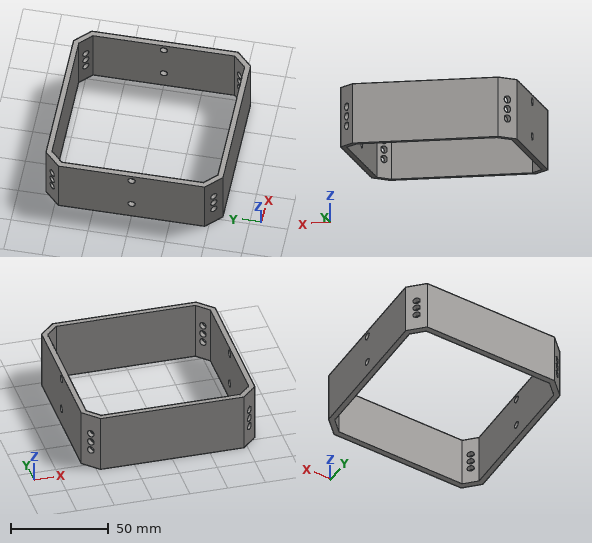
import cadquery as cq

side = 92.0
height = 31.0
wall = 2.9
corner_cut = 8.0
hole_diameter = 3.7
side_hole_heights = (9.4, 27.5)
corner_hole_middle_height = 15.0
corner_hole_spacing = 5.0
corner_angles = (45, 135)

inner_side = side - 2 * wall
inner_corner_cut = corner_cut - wall * (2 - 2**0.5)


def octagonal_prism(width, cut):
    """Square prism on the XY plane with its four upright edges cut at 45 degrees."""
    return cq.Workplane("XY").rect(width, width).extrude(height).edges("|Z").chamfer(cut)


def cross_drill(z, angle):
    """Horizontal cylinder through the ring's axis, turned by angle from the X axis."""
    length = 2 * side
    drill = cq.Workplane("YZ").circle(hole_diameter / 2).extrude(length / 2, both=True)
    return drill.rotate((0, 0, 0), (0, 0, 1), angle).translate((0, 0, z))


result = octagonal_prism(side, corner_cut).cut(octagonal_prism(inner_side, inner_corner_cut))

for hole_height in side_hole_heights:
    result = result.cut(cross_drill(hole_height, 0))

for step in (-1, 0, 1):
    hole_height = corner_hole_middle_height + step * corner_hole_spacing
    for corner_angle in corner_angles:
        result = result.cut(cross_drill(hole_height, corner_angle))